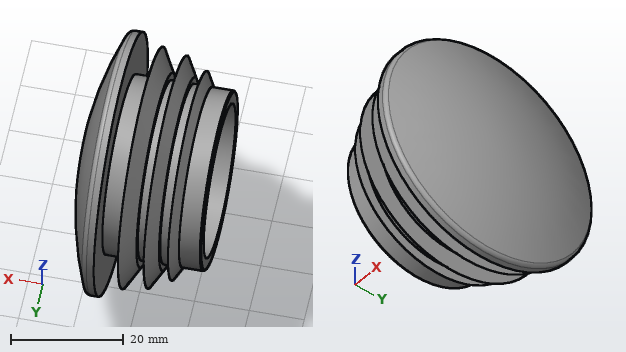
import cadquery as cq
import math

head_radius = 24.0
total_length = 25.0
tube_length = 18.0
tube_radius = 16.35
tube_edge_chamfer = 0.25
bore_radius = 14.0
bore_depth = tube_length
dome_radius = 60.0
head_edge_fillet = 1.0

fin_angle = 60.0
fin_overlap = 0.5
fins = [
    (5.5, 1.5, 19.0),
    (9.5, 2.05, 21.1),
    (14.0, 2.5, 22.0),
]


def make_tube():
    tube = cq.Workplane("YZ").circle(tube_radius).extrude(tube_length)
    return tube.faces("<X").chamfer(tube_edge_chamfer)


def make_head():
    """Disc whose outer face is a shallow spherical dome with a rounded rim."""
    dome_center = total_length - dome_radius
    round_center_r = head_radius - head_edge_fillet
    round_center_x = dome_center + math.sqrt(
        (dome_radius - head_edge_fillet) ** 2 - round_center_r**2
    )
    dome_edge_angle = math.asin(round_center_r / (dome_radius - head_edge_fillet))
    round_mid_angle = (math.pi / 2 + dome_edge_angle) / 2

    def dome_point(angle):
        return (
            dome_center + dome_radius * math.cos(angle),
            dome_radius * math.sin(angle),
        )

    round_middle = (
        round_center_x + head_edge_fillet * math.cos(round_mid_angle),
        round_center_r + head_edge_fillet * math.sin(round_mid_angle),
    )
    return (
        cq.Workplane("XY")
        .moveTo(tube_length, 0)
        .lineTo(tube_length, head_radius)
        .lineTo(round_center_x, head_radius)
        .threePointArc(round_middle, dome_point(dome_edge_angle))
        .threePointArc(dome_point(dome_edge_angle / 2), (total_length, 0))
        .close()
        .revolve(360, (0, 0, 0), (1, 0, 0))
    )


def make_fin(rim_x, width, rim_radius):
    front_x = rim_x - width
    front_radius = rim_radius - width * math.tan(math.radians(fin_angle))
    inner_radius = tube_radius - fin_overlap
    return (
        cq.Workplane("XY")
        .polyline([
            (front_x, inner_radius),
            (front_x, front_radius),
            (rim_x, rim_radius),
            (rim_x, inner_radius),
        ])
        .close()
        .revolve(360, (0, 0, 0), (1, 0, 0))
    )


body = make_tube().union(make_head())
for rim_x, width, rim_radius in fins:
    body = body.union(make_fin(rim_x, width, rim_radius))

bore = cq.Workplane("YZ").circle(bore_radius).extrude(bore_depth)
result = body.cut(bore)